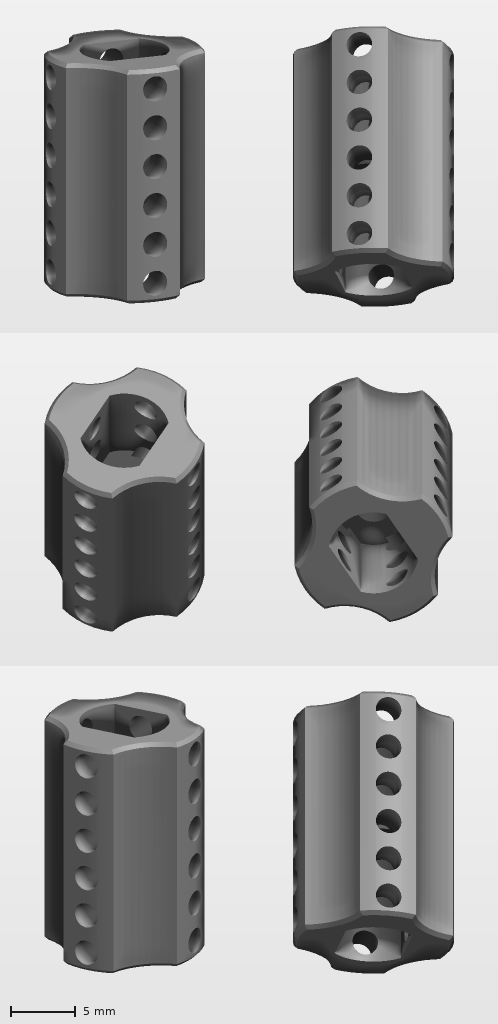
import cadquery as cq
import math

height = 18.75
body_diameter = 12.5
flute_radius = 5.0
flute_center_distance = 10.0
flute_count = 4
rim_chamfer = 0.3

pocket_diameter = 7.0
pocket_flat_width = 5.25

core_diameter = 6.0
core_bottom = 8.51
core_top = 11.02
bore_diameter = 3.0

hole_diameter = 2.0
hole_rows = 6
hole_pitch = height / hole_rows


def fluted_body():
    """Cylinder with concave flutes on its diagonals and chamfered rims."""
    body = cq.Workplane("XY").circle(body_diameter / 2).extrude(height)
    flutes = (
        cq.Workplane("XY")
        .polarArray(flute_center_distance, 360 / flute_count / 2, 360, flute_count)
        .circle(flute_radius)
        .extrude(height)
    )
    return body.cut(flutes).faces("<Z or >Z").chamfer(rim_chamfer)


def double_flat_pocket(bottom, top):
    """Round pocket with flats facing -X and +X."""
    half_width = pocket_flat_width / 2
    radius = pocket_diameter / 2
    half_flat = math.sqrt(radius**2 - half_width**2)
    return (
        cq.Workplane("XY")
        .workplane(offset=bottom)
        .moveTo(-half_width, -half_flat)
        .threePointArc((0, -radius), (half_width, -half_flat))
        .lineTo(half_width, half_flat)
        .threePointArc((0, radius), (-half_width, half_flat))
        .close()
        .extrude(top - bottom)
    )


def cross_hole(plane, level):
    """Cylinder through the whole body at one level, along the plane's normal."""
    return (
        cq.Workplane(plane)
        .center(0, level)
        .circle(hole_diameter / 2)
        .extrude(body_diameter / 2, both=True)
    )


def core():
    """Solid plug that closes the cross holes around the axis."""
    return (
        cq.Workplane("XY")
        .workplane(offset=core_bottom)
        .circle(core_diameter / 2)
        .extrude(core_top - core_bottom)
    )


result = fluted_body()
result = result.cut(double_flat_pocket(0, core_bottom))
result = result.cut(double_flat_pocket(core_top, height))

for row in range(hole_rows):
    level = (row + 0.5) * hole_pitch
    for plane in ("XZ", "YZ"):
        result = result.cut(cross_hole(plane, level))

result = result.union(core())

bore = cq.Workplane("XY").circle(bore_diameter / 2).extrude(height)
result = result.cut(bore)